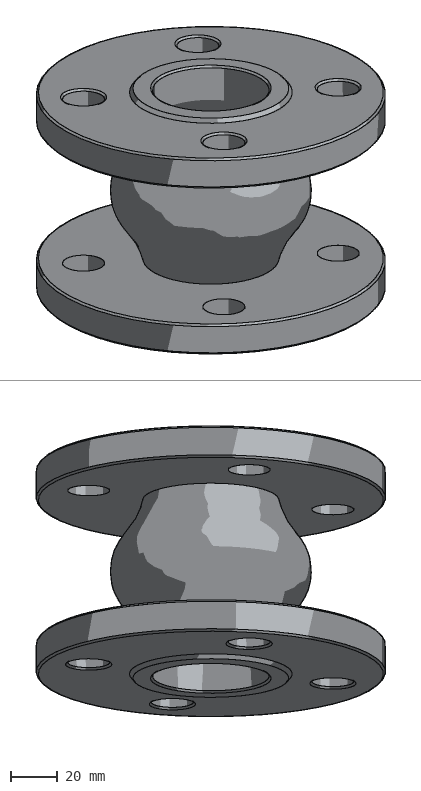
import cadquery as cq
import math

flange_diameter = 150.0
total_height = 95.0
flange_thickness = 14.0
raised_face_height = 2.0

face_base_radius = 35.0
face_top_radius = 33.5
face_bevel_width = 0.8
face_bevel_height = 0.2

bore_diameter = 50.0
bore_chamfer = 0.9
flange_chamfer = 0.9

bolt_hole_diameter = 18.0
bolt_hole_chamfer = 0.9
bolt_circle_diameter = 110.0
bolt_count = 4
first_bolt_angle = 45.0

bulge_radius = 43.2
neck_radius = 29.2
shoulder_radius = 33.0
shoulder_z = 21.8
neck_slope = 15.0

half_height = total_height / 2
flange_outer_z = half_height - raised_face_height
flange_inner_z = flange_outer_z - flange_thickness
wall_thickness = neck_radius - bore_diameter / 2


def bellows_solid(inset):
    """Solid of revolution of the bellows, with its outline moved inward by inset."""
    equator = (bulge_radius - inset, 0)
    shoulder = (shoulder_radius - inset, shoulder_z)
    neck_end = (neck_radius - inset, flange_inner_z)
    equator_tangent = (0, 1)
    neck_tangent = (-math.sin(math.radians(neck_slope)), math.cos(math.radians(neck_slope)))
    upper_half = (
        cq.Workplane("XZ")
        .lineTo(*equator)
        .spline([shoulder, neck_end], tangents=[equator_tangent, neck_tangent], includeCurrent=True)
        .lineTo(0, flange_inner_z)
        .close()
        .revolve(360, (0, 0), (0, 1))
    )
    return upper_half.union(upper_half.mirror("XY"))


def bolt_hole_cutter():
    """Through hole with a chamfered mouth on the outer face of the upper flange."""
    radius = bolt_hole_diameter / 2
    return (
        cq.Workplane("XZ")
        .moveTo(0, flange_inner_z)
        .lineTo(radius, flange_inner_z)
        .lineTo(radius, flange_outer_z - bolt_hole_chamfer)
        .lineTo(radius + bolt_hole_chamfer, flange_outer_z)
        .lineTo(0, flange_outer_z)
        .close()
        .revolve(360, (0, 0), (0, 1))
    )


def upper_flange():
    """Flange ring with raised face, bore and bolt holes."""
    rim_radius = flange_diameter / 2
    bore_radius = bore_diameter / 2
    flange = (
        cq.Workplane("XZ")
        .moveTo(bore_radius, flange_inner_z)
        .lineTo(rim_radius - flange_chamfer, flange_inner_z)
        .lineTo(rim_radius, flange_inner_z + flange_chamfer)
        .lineTo(rim_radius, flange_outer_z - flange_chamfer)
        .lineTo(rim_radius - flange_chamfer, flange_outer_z)
        .lineTo(face_base_radius, flange_outer_z)
        .lineTo(face_top_radius, half_height - face_bevel_height)
        .lineTo(face_top_radius - face_bevel_width, half_height)
        .lineTo(bore_radius + bore_chamfer, half_height)
        .lineTo(bore_radius, half_height - bore_chamfer)
        .close()
        .revolve(360, (0, 0), (0, 1))
    )
    cutter = bolt_hole_cutter().translate((bolt_circle_diameter / 2, 0, 0))
    for index in range(bolt_count):
        angle = first_bolt_angle + index * 360 / bolt_count
        flange = flange.cut(cutter.rotate((0, 0, 0), (0, 0, 1), angle))
    return flange


top_flange = upper_flange()
bottom_flange = top_flange.mirror("XY")
bellows = bellows_solid(0).cut(bellows_solid(wall_thickness))

result = bellows.union(top_flange).union(bottom_flange)